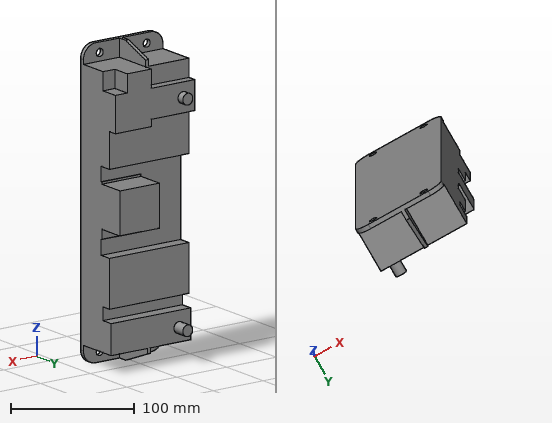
import cadquery as cq

width = 80.0
height = 269.0
depth = 54.0
plate_thickness = 4.0
corner_radius = 12.0
hole_diameter = 6.7
hole_spacing_x = 47.0
hole_edge_distance = 9.0

housing_top = 118.4
housing_bottom = -117.8
upper_depth = 39.5
lower_depth = 42.0
recess_depth = 28.2
recess_top = 38.2
recess_bottom = -36.5
slot_depth = 30.7
slot_top = -79.4
slot_bottom = -91.0

raised_depth = 47.5
block_left = 3.8
block_bottom = 70.0
pad_top = 102.2
pad_bottom = 76.0
notch_left = 28.0
notch_depth = slot_depth

rib_left = 0.5
rib_flat_depth = 12.0
upper_rib_tip = 124.0
lower_rib_tip = -122.5

connector_left = rib_left
connector_top = 23.5
connector_bottom = -14.5
flange_thickness = 0.8
flange_top = 25.3
flange_bottom = -23.0

pin_diameter = 10.0
pin_x = -28.0
upper_pin_z = (pad_top + pad_bottom) / 2
lower_pin_z = -105.5

right_side = width / 2
left_side = -right_side
half_height = height / 2


def box_between(x_range, y_range, z_range):
    """Axis-aligned box given by its limits along X, Y and Z."""
    x0, x1 = x_range
    y0, y1 = y_range
    z0, z1 = z_range
    return cq.Workplane("XY").box(x1 - x0, y1 - y0, z1 - z0, centered=False).translate((x0, y0, z0))


def extrude_profile(yz_points, x_start, x_end):
    """Closed Y-Z outline extruded along X."""
    return cq.Workplane("YZ", origin=(x_start, 0, 0)).polyline(yz_points).close().extrude(x_end - x_start)


def mounting_plate():
    plate = box_between((left_side, right_side), (0, plate_thickness), (-half_height, half_height))
    plate = plate.edges("|Y").fillet(corner_radius)
    holes = (
        cq.Workplane("XZ")
        .rect(hole_spacing_x, height - 2 * hole_edge_distance, forConstruction=True)
        .vertices()
        .circle(hole_diameter / 2)
        .extrude(-plate_thickness)
    )
    return plate.cut(holes)


def housing():
    profile = [
        (0, housing_top),
        (upper_depth, housing_top),
        (upper_depth, recess_top),
        (recess_depth, recess_top),
        (recess_depth, recess_bottom),
        (upper_depth, recess_bottom),
        (upper_depth, slot_top),
        (slot_depth, slot_top),
        (slot_depth, slot_bottom),
        (lower_depth, slot_bottom),
        (lower_depth, housing_bottom),
        (0, housing_bottom),
    ]
    return extrude_profile(profile, left_side, right_side)


def terminal_block():
    block = box_between((block_left, right_side), (0, raised_depth), (block_bottom, housing_top))
    pad = box_between((left_side, block_left), (0, raised_depth), (pad_bottom, pad_top))
    return block.union(pad)


def corner_notch():
    """Step along the right rear corner of the terminal block, down to the level of the pad top."""
    return box_between((notch_left, right_side), (notch_depth, raised_depth), (pad_top, housing_top))


def rib(tip_depth, tip_z, root_z, end_z):
    profile = [
        (0, root_z),
        (tip_depth, root_z),
        (tip_depth, tip_z),
        (rib_flat_depth, end_z),
        (0, end_z),
    ]
    return extrude_profile(profile, rib_left, block_left)


def connector():
    x_range = (connector_left, right_side)
    flange_depth = recess_depth + flange_thickness
    flange = box_between(x_range, (recess_depth, flange_depth), (flange_bottom, flange_top))
    body = box_between(x_range, (recess_depth, depth), (connector_bottom, connector_top))
    return flange.union(body)


def pin(base_depth, z):
    base = cq.Workplane("XZ", origin=(pin_x, base_depth, z))
    return base.circle(pin_diameter / 2).extrude(base_depth - depth)


result = (
    housing()
    .union(terminal_block())
    .cut(corner_notch())
    .union(mounting_plate())
    .union(rib(upper_depth, upper_rib_tip, housing_top, half_height))
    .union(rib(lower_depth, lower_rib_tip, housing_bottom, -half_height))
    .union(connector())
    .union(pin(raised_depth, upper_pin_z))
    .union(pin(lower_depth, lower_pin_z))
)